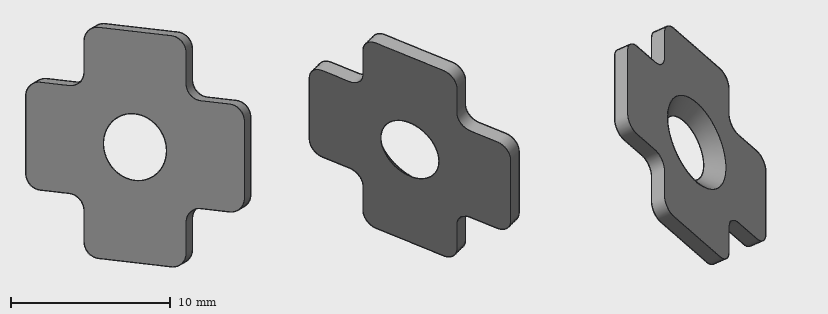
import cadquery as cq

span = 15.0
arm_width = 7.0
thickness = 1.0
corner_radius = 1.0
hole_diameter = 4.3
hole_half_angle = 45.0


def bar(length_x, length_z):
    """Flat rectangular bar lying in the XZ plane, centred on the origin."""
    return cq.Workplane("XY").box(length_x, thickness, length_z)


cross = bar(span, arm_width).union(bar(arm_width, span))

rounded_cross = cross.edges("|Y").fillet(corner_radius)

conical_hole = (
    cross.faces("<Y")
    .workplane(centerOption="CenterOfBoundBox")
    .circle(hole_diameter / 2)
    .extrude(-thickness, combine=False, taper=-hole_half_angle)
)
result = rounded_cross.cut(conical_hole)